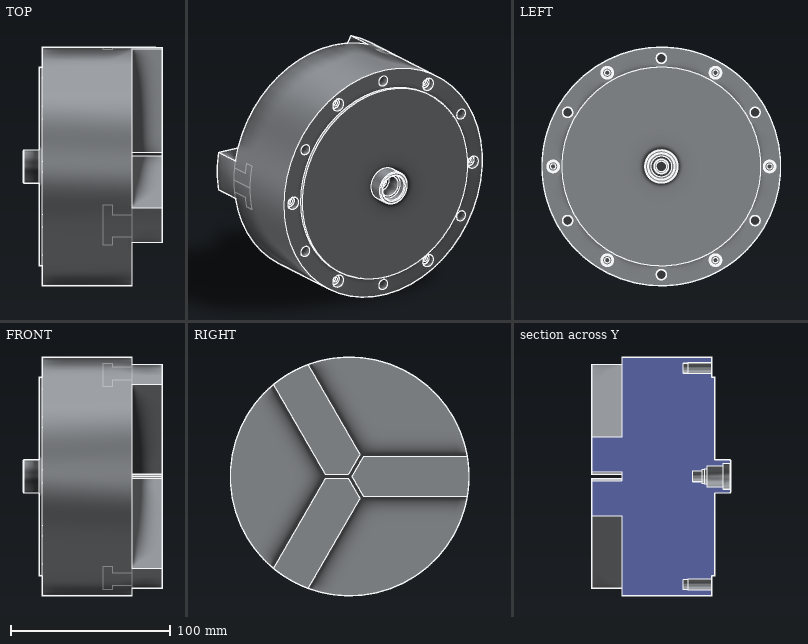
import cadquery as cq
import math

spigot_length = 10.0
pilot_length = 2.0
body_length = 56.4
jaw_height = 19.0
pilot_x = spigot_length
body_x = pilot_x + pilot_length
jaw_x = body_x + body_length

body_diameter = 150.0
pilot_diameter = 125.0
spigot_diameter = 21.0
spigot_chamfer = 0.6

bore_chamfer = 0.6
bore_steps = [(16.0, 5.0), (13.0, 15.0), (9.3, 16.5), (8.5, 18.0), (6.6, 24.0)]

bolt_circle_radius = 68.0
holes_per_kind = 6
mounting_hole_steps = [(6.6, 15.0), (6.0, 18.0)]
counterbore_diameter = 8.0
counterbore_depth = 8.0
screw_head_diameter = 7.0
screw_head_height = 4.5
screw_head_chamfer = 0.6
socket_diameter = 3.3
socket_depth = 2.0

jaw_count = 3
jaw_width = 25.0
jaw_gap = 2.5
nose_flat_width = 0.5
base_neck_width = 16.0
base_head_width = 29.0
base_neck_height = 12.2
base_head_height = 6.0
first_jaw_angle = -90.0


def disc(x, diameter, length):
    """Cylinder on the chuck axis, starting at station x."""
    return cq.Workplane("YZ", origin=(x, 0, 0)).circle(diameter / 2).extrude(length)


def stepped_hole(x, steps):
    """Coaxial cylinders that all start at station x, given as (diameter, depth)."""
    hole = cq.Workplane("YZ")
    for diameter, depth in steps:
        hole = hole.union(disc(x, diameter, depth))
    return hole


def turn(shape, angle):
    """Turn a shape about the chuck axis, from +Z towards -Y."""
    return shape.rotate((0, 0, 0), (1, 0, 0), angle)


def make_body():
    spigot = disc(0, spigot_diameter, pilot_x).faces("<X").chamfer(spigot_chamfer)
    pilot = disc(pilot_x, pilot_diameter, pilot_length)
    body = disc(body_x, body_diameter, body_length)
    return body.union(pilot).union(spigot)


def make_bore():
    mouth_radius = bore_steps[0][0] / 2
    bore = cq.Workplane("XY").polyline([
        (0, 0),
        (0, mouth_radius + bore_chamfer),
        (bore_chamfer, mouth_radius),
        (bore_chamfer, 0),
    ]).close().revolve(360, (0, 0, 0), (1, 0, 0))
    return bore.union(stepped_hole(0, bore_steps))


def make_mounting_hole():
    return stepped_hole(body_x, mounting_hole_steps).translate((0, 0, bolt_circle_radius))


def make_screw_recess():
    """Counterbore minus the cap screw head that sits on its floor."""
    recess = disc(body_x, counterbore_diameter, counterbore_depth)
    head_x = body_x + counterbore_depth - screw_head_height
    head = disc(head_x, screw_head_diameter, screw_head_height)
    head = head.faces("<X").chamfer(screw_head_chamfer)
    head = head.cut(disc(head_x, socket_diameter, socket_depth))
    return recess.cut(head).translate((0, 0, bolt_circle_radius))


def make_jaw():
    """Jaw and T-base pointing along +Z, with the outer end on the body diameter."""
    body_radius = body_diameter / 2
    half_sector = math.radians(180 / jaw_count)
    nose_apex = jaw_gap / 2 / math.sin(half_sector)
    nose_tip = nose_apex + nose_flat_width / 2 / math.tan(half_sector)
    nose_corner = nose_apex + jaw_width / 2 / math.tan(half_sector)
    jaw = cq.Workplane("YZ", origin=(jaw_x, 0, 0)).polyline([
        (-nose_flat_width / 2, nose_tip),
        (nose_flat_width / 2, nose_tip),
        (jaw_width / 2, nose_corner),
        (jaw_width / 2, body_radius),
        (-jaw_width / 2, body_radius),
        (-jaw_width / 2, nose_corner),
    ]).close().extrude(jaw_height)

    def base_block(x, width, height):
        length = body_radius - nose_corner
        block = cq.Workplane("XY").box(height, width, length, centered=(False, True, False))
        return block.translate((x, 0, nose_corner))

    neck_x = jaw_x - base_neck_height
    neck = base_block(neck_x, base_neck_width, base_neck_height)
    head = base_block(neck_x - base_head_height, base_head_width, base_head_height)
    envelope = disc(body_x, body_diameter, body_length + jaw_height)
    return neck.union(head).union(jaw).intersect(envelope)


result = make_body().cut(make_bore())

hole_pitch = 360 / holes_per_kind
for index in range(holes_per_kind):
    result = result.cut(turn(make_mounting_hole(), index * hole_pitch))
    result = result.cut(turn(make_screw_recess(), (index + 0.5) * hole_pitch))

for index in range(jaw_count):
    angle = first_jaw_angle + index * 360 / jaw_count
    result = result.union(turn(make_jaw(), angle), clean=False)